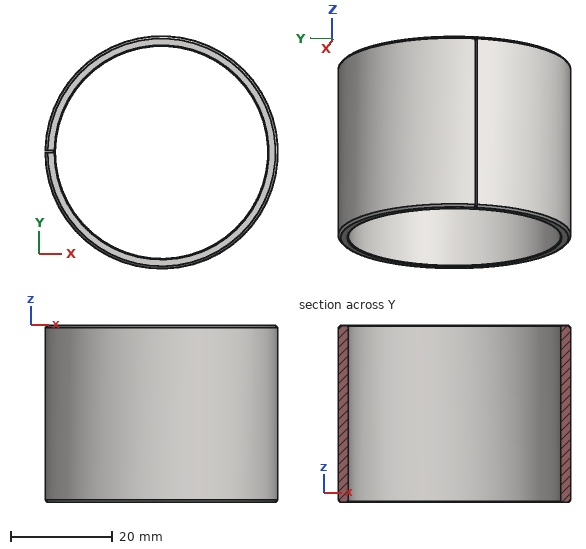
import cadquery as cq

outer_diameter = 46.0
bore_diameter = 42.0
length = 35.0
outer_chamfer = 0.5
bore_chamfer = 0.2
slit_angle = 1.0

outer_radius = outer_diameter / 2
bore_radius = bore_diameter / 2
half_length = length / 2


def wall_section():
    """Chamfered wall section in the XZ plane, on the -X side of the axis."""
    return (
        cq.Workplane("XZ")
        .moveTo(-bore_radius - bore_chamfer, -half_length)
        .lineTo(-outer_radius + outer_chamfer, -half_length)
        .lineTo(-outer_radius, -half_length + outer_chamfer)
        .lineTo(-outer_radius, half_length - outer_chamfer)
        .lineTo(-outer_radius + outer_chamfer, half_length)
        .lineTo(-bore_radius - bore_chamfer, half_length)
        .lineTo(-bore_radius, half_length - bore_chamfer)
        .lineTo(-bore_radius, -half_length + bore_chamfer)
        .close()
    )


result = wall_section().revolve(360 - slit_angle, (0, 0, 0), (0, 1, 0))